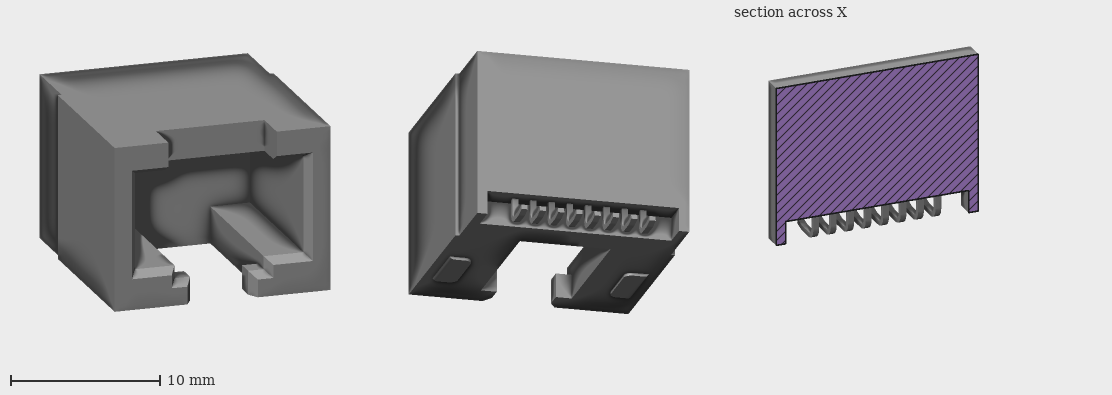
import cadquery as cq
import math


front_x = 18.31
rear_x = 1.43
step_x = 6.13
housing_height = 11.54
front_width = 15.23
rear_width = 14.7

roof_thickness = 2.16
cavity_height = 6.77
cavity_width = 11.9
cavity_back_x = step_x
cavity_top_z = housing_height - roof_thickness
floor_z = cavity_top_z - cavity_height
flare_depth = 0.75
flare_angle = 30.0
roof_slot_width = 7.65
roof_slot_depth = 2.65

latch_width = 6.3
hook_gap = 4.1
hook_length = 2.03
hook_top_z = floor_z - 0.92

recess_width = 13.3
recess_height = 1.63
recess_depth = 2.01

contact_count = 8
contact_span = 8.88
contact_pitch = contact_span / (contact_count - 1)
contact_width = 0.42
contact_thickness = 0.35
contact_bottom_z = -0.15
foot_start_x = 0.88
foot_end_x = 1.96
tip_angle = math.radians(14)
tip_inner_radius = 0.53
heel_inner_radius = 0.5
leg_embed = 0.37

tab_start_x = 10.27
tab_length = 4.49
tab_inner_y = 5.31
tab_outer_y = 6.94
tab_drop = 0.2
tab_embed = 0.55
tab_bend_radius = 0.35
tab_corner_radius = 0.55


def block(x_min, x_max, width, z_min, z_max):
    """Box centred on the Y = 0 plane."""
    box = cq.Workplane("XY").box(x_max - x_min, width, z_max - z_min, centered=(False, True, False))
    return box.translate((x_min, 0, z_min))


def flared_opening(back_x, width, z_min, z_max):
    """Straight opening from back_x to the front face, widened on all sides at the mouth."""
    flare = flare_depth * math.tan(math.radians(flare_angle))
    mouth = (
        cq.Workplane("YZ", origin=(front_x, 0, (z_min + z_max) / 2))
        .rect(width + 2 * flare, z_max - z_min + 2 * flare)
        .extrude(-flare_depth, taper=flare_angle)
    )
    return block(back_x, front_x, width, z_min, z_max).union(mouth)


def make_housing():
    rear = block(rear_x, step_x, rear_width, 0, housing_height)
    front = block(step_x, front_x, front_width, 0, housing_height)
    return rear.union(front)


def cut_plug_opening(body):
    hook_back_x = front_x - hook_length
    roof_slot_x = front_x - roof_slot_depth
    body = body.cut(flared_opening(cavity_back_x, cavity_width, floor_z, cavity_top_z))
    body = body.cut(block(roof_slot_x, front_x, roof_slot_width, floor_z, housing_height))
    body = body.cut(flared_opening(hook_back_x, latch_width, hook_top_z, floor_z))
    body = body.cut(flared_opening(hook_back_x, hook_gap, 0, floor_z))
    return body.cut(block(cavity_back_x, hook_back_x, latch_width, 0, floor_z))


def make_contact(y):
    """Strip swept along a raised tip, a flat foot, a heel bend and a vertical leg."""
    half = contact_thickness / 2
    foot_z = contact_bottom_z + half
    tip_radius = tip_inner_radius + half
    heel_radius = heel_inner_radius + half

    bend_x = foot_start_x - tip_radius * math.sin(tip_angle)
    bend_z = foot_z + tip_radius * (1 - math.cos(tip_angle))
    tip_x = half * math.sin(tip_angle)
    tip_z = bend_z + (bend_x - tip_x) * math.tan(tip_angle)

    path = (
        cq.Workplane("XZ", origin=(0, y, 0))
        .moveTo(tip_x, tip_z)
        .lineTo(bend_x, bend_z)
        .tangentArcPoint((foot_start_x, foot_z), relative=False)
        .lineTo(foot_end_x, foot_z)
        .tangentArcPoint((foot_end_x + heel_radius, foot_z + heel_radius), relative=False)
        .lineTo(foot_end_x + heel_radius, recess_height + leg_embed)
    )
    section_plane = cq.Plane(
        origin=(tip_x, y, tip_z),
        xDir=(0, 1, 0),
        normal=(math.cos(tip_angle), 0, -math.sin(tip_angle)),
    )
    return cq.Workplane(section_plane).rect(contact_width, contact_thickness).sweep(path)


def make_tab():
    """Tab on the +Y side: outer edge bent upward, inner corners rounded."""
    return (
        cq.Workplane("XY")
        .box(tab_length, tab_outer_y - tab_inner_y, tab_drop + tab_embed, centered=False)
        .translate((tab_start_x, tab_inner_y, -tab_drop))
        .edges("|Z and <Y")
        .fillet(tab_corner_radius)
        .edges(">Y and <Z")
        .fillet(tab_bend_radius)
    )


body = cut_plug_opening(make_housing())
body = body.cut(block(rear_x, rear_x + recess_depth, recess_width, 0, recess_height))

for index in range(contact_count):
    body = body.union(make_contact(index * contact_pitch - contact_span / 2))

tab = make_tab()
result = body.union(tab).union(tab.mirror("XZ"))